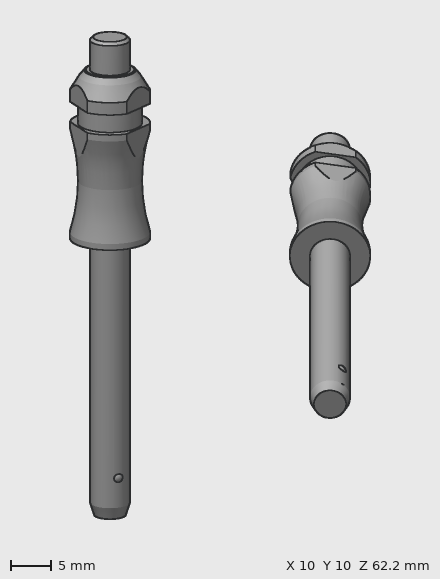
import cadquery as cq
import math

full_turn = 360.0

shank_radius = 2.5
shank_length = 36.0
tip_radius = 2.0
tip_length = 1.6

grip_radius = 5.0
waist_radius = 4.0
rim_height = 0.8
waist_height = 7.5
flare_top_height = 14.15
grip_height = 15.0

neck_radius = 4.0
cap_bottom_height = 17.6
cap_cone_height = 19.2
cap_shoulder_height = 21.1
cap_shoulder_radius = 3.85
cap_rim_radius = 3.2
cap_rim_height = 21.88
cap_top_radius = 3.0
cap_top_height = 21.95

button_radius = 2.5
button_top_height = 26.2
button_chamfer = 0.4

flat_distance = 4.3
flat_count = 3
first_flat_angle = -90.0

ball_radius = 0.8
ball_reach = 2.7
ball_tip_distance = 5.45
ball_height = ball_tip_distance - shank_length


def flare_midpoint(rise):
    """Radius and distance from the waist at the middle of a flare arc.

    The arc leaves the waist parallel to the axis and reaches the grip radius after `rise`.
    """
    flare_run = grip_radius - waist_radius
    arc_radius = (flare_run**2 + rise**2) / (2 * flare_run)
    half_angle = math.asin(rise / arc_radius) / 2
    radius = waist_radius + arc_radius * (1 - math.cos(half_angle))
    return radius, arc_radius * math.sin(half_angle)


def make_turned_body():
    """Shank, grip, neck, cap and button as one solid of revolution."""
    lower_radius, lower_offset = flare_midpoint(waist_height - rim_height)
    upper_radius, upper_offset = flare_midpoint(flare_top_height - waist_height)
    outline = (
        cq.Workplane("XZ")
        .moveTo(0, -shank_length)
        .lineTo(tip_radius, -shank_length)
        .lineTo(shank_radius, tip_length - shank_length)
        .lineTo(shank_radius, 0)
        .lineTo(grip_radius, 0)
        .lineTo(grip_radius, rim_height)
        .threePointArc((lower_radius, waist_height - lower_offset), (waist_radius, waist_height))
        .threePointArc((upper_radius, waist_height + upper_offset), (grip_radius, flare_top_height))
        .lineTo(grip_radius, grip_height)
        .lineTo(neck_radius, grip_height)
        .lineTo(neck_radius, cap_bottom_height)
        .lineTo(grip_radius, cap_bottom_height)
        .lineTo(grip_radius, cap_cone_height)
        .lineTo(cap_shoulder_radius, cap_shoulder_height)
        .lineTo(cap_rim_radius, cap_rim_height)
        .lineTo(cap_top_radius, cap_top_height)
        .lineTo(button_radius, cap_top_height)
        .lineTo(button_radius, button_top_height - button_chamfer)
        .lineTo(button_radius - button_chamfer, button_top_height)
        .lineTo(0, button_top_height)
        .close()
    )
    return outline.revolve(full_turn, (0, 0, 0), (0, 1, 0))


def cut_flats(body):
    """Cut equally spaced vertical flats across the grip top and the cap."""
    cutter_size = 2 * grip_radius
    cutter_height = cap_top_height - waist_height
    cutter = (
        cq.Workplane("XY")
        .box(cutter_size, cutter_size, cutter_height, centered=(False, True, False))
        .translate((flat_distance, 0, waist_height))
    )
    for index in range(flat_count):
        angle = first_flat_angle + index * full_turn / flat_count
        body = body.cut(cutter.rotate((0, 0, 0), (0, 0, 1), angle))
    return body


def add_balls(body):
    """Add a locking ball on each side of the shank along X."""
    ball_offset = ball_reach - ball_radius
    for side in (-1, 1):
        ball = cq.Workplane("XY").sphere(ball_radius).translate((side * ball_offset, 0, ball_height))
        body = body.union(ball)
    return body


result = add_balls(cut_flats(make_turned_body()))